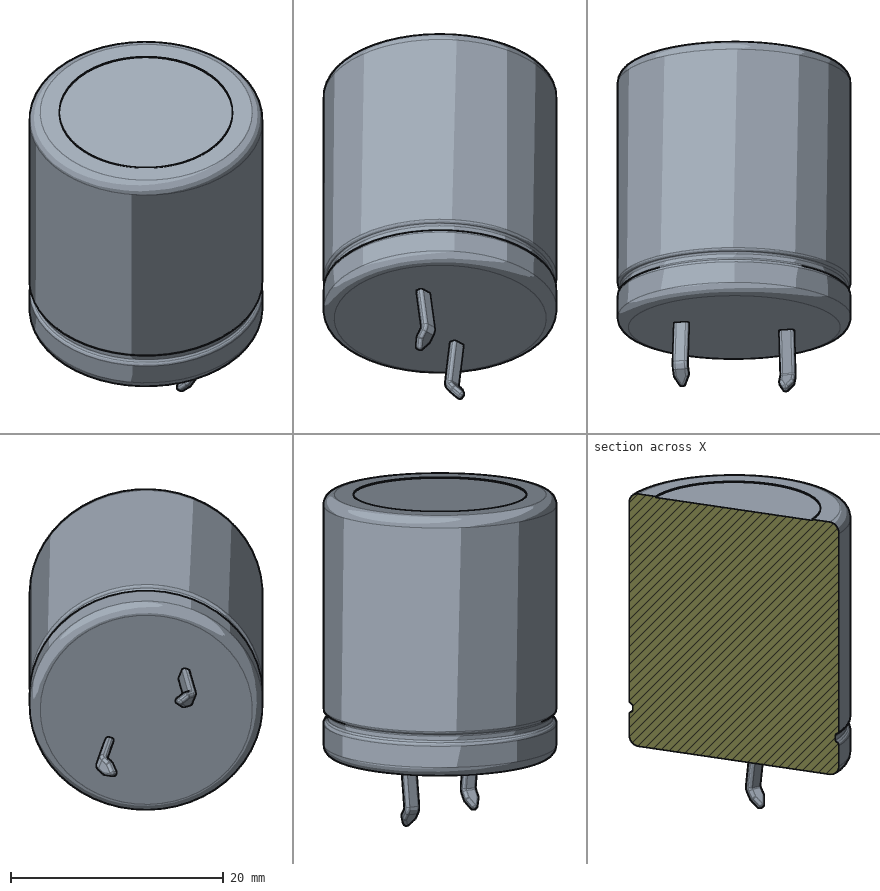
import cadquery as cq
import math

can_radius = 11.0
can_height = 25.04
can_edge_round = 1.0
top_recess_radius = 8.17
top_recess_depth = 0.1

groove_height = 3.74
groove_depth = 0.36
groove_floor_width = 0.4
groove_flank_height = 0.5
groove_floor_share = 0.4

pin_spacing = 10.2
pin_length = 6.1
pin_width = 1.45
pin_thickness = 0.8
pin_edge_round = 0.28
pin_twist = -25.0
pin_lean = 0.65
pin_bend_depth = 4.3
pin_bend_round = 0.2
pin_foot_angle = 38.0
pin_taper_width = 0.52
pin_taper_length = 1.05
pin_root_height = 1.0


def make_can():
    """Cylinder with rounded rims and a shallow round recess in the top."""
    can = cq.Workplane("XY").circle(can_radius).extrude(can_height)
    can = can.edges("%CIRCLE").fillet(can_edge_round)
    return can.faces(">Z").workplane().circle(top_recess_radius).cutBlind(-top_recess_depth)


def make_groove_cutter():
    """Ring with an S-shaped flank on each side: floor round tangent to lip round."""
    floor_radius = can_radius - groove_depth
    floor_half = groove_floor_width / 2
    mouth_half = floor_half + groove_flank_height

    both_rounds = (groove_flank_height**2 + groove_depth**2) / (2 * groove_depth)
    floor_round = both_rounds * groove_floor_share
    lip_round = both_rounds - floor_round
    touch_radius = floor_radius + groove_depth * groove_floor_share
    touch_half = floor_half + groove_flank_height * groove_floor_share

    ring = (
        cq.Workplane("XZ", origin=(0, 0, groove_height))
        .moveTo(floor_radius, -floor_half)
        .lineTo(floor_radius, floor_half)
        .radiusArc((touch_radius, touch_half), floor_round)
        .radiusArc((can_radius, mouth_half), -lip_round)
        .lineTo(can_radius + groove_depth, mouth_half)
        .lineTo(can_radius + groove_depth, -mouth_half)
        .lineTo(can_radius, -mouth_half)
        .radiusArc((touch_radius, -touch_half), -lip_round)
        .radiusArc((floor_radius, -floor_half), floor_round)
        .close()
    )
    return ring.revolve(360, (0, 0, 0), (0, 1, 0))


def taper_foot(strip, tip_y, tip_z, foot_angle):
    """Narrow the foot from both sides toward its end, which is centred at (tip_y, tip_z)."""
    foot_normal = (0, -math.cos(foot_angle), -math.sin(foot_angle))
    foot_plane = cq.Plane(origin=(0, tip_y, tip_z), xDir=(-1, 0, 0), normal=foot_normal)
    half_width = pin_width / 2
    for side in (-1, 1):
        corner = (
            cq.Workplane(foot_plane)
            .moveTo(side * half_width, -pin_taper_length)
            .lineTo(side * (half_width - pin_taper_width), 0)
            .lineTo(side * half_width, 0)
            .close()
            .extrude(pin_thickness, both=True)
        )
        strip = strip.cut(corner)
    return strip


def make_pin():
    """Flat pin at the -X side: it leans mainly toward -Y and its foot kinks back toward +Y."""
    lean_angle = math.atan2(pin_lean, pin_bend_depth)
    foot_angle = math.radians(pin_foot_angle)
    half_thick = pin_thickness / 2

    leg_half = half_thick / math.cos(lean_angle)
    bisector = (foot_angle - lean_angle) / 2
    miter = half_thick / math.cos((foot_angle + lean_angle) / 2)
    miter_y = miter * math.cos(bisector)
    miter_z = miter * math.sin(bisector)
    root_y = pin_root_height * math.tan(lean_angle)

    end_y = half_thick * math.cos(foot_angle)
    end_z = half_thick * math.sin(foot_angle)
    corner_overshoot = pin_edge_round * (math.cos(foot_angle) + math.sin(foot_angle) - 1)
    tip_z = end_z - pin_length - corner_overshoot
    tip_y = (-pin_bend_depth - tip_z) * math.tan(foot_angle) - pin_lean

    strip = (
        cq.Workplane("YZ")
        .polyline(
            [
                (root_y - leg_half, pin_root_height),
                (-pin_lean - miter_y, -pin_bend_depth - miter_z),
                (tip_y - end_y, tip_z - end_z),
                (tip_y + end_y, tip_z + end_z),
                (-pin_lean + miter_y, -pin_bend_depth + miter_z),
                (root_y + leg_half, pin_root_height),
            ]
        )
        .close()
        .extrude(pin_width / 2, both=True)
    )
    strip = taper_foot(strip, tip_y, tip_z, foot_angle)

    inner_bend = (0, -pin_lean + miter_y, -pin_bend_depth + miter_z)
    outer_bend = (0, -pin_lean - miter_y, -pin_bend_depth - miter_z)
    strip = strip.edges(cq.selectors.NearestToPointSelector(inner_bend)).fillet(pin_bend_round)
    outer_round = pin_bend_round + pin_thickness
    strip = strip.edges(cq.selectors.NearestToPointSelector(outer_bend)).fillet(outer_round)
    strip = strip.edges().fillet(pin_edge_round)
    return strip.rotate((0, 0, 0), (0, 0, 1), pin_twist).translate((-pin_spacing / 2, 0, 0))


def add_pins(body):
    """The two pins are half a turn apart about the can axis."""
    pin = make_pin()
    for turn in (0, 180):
        body = body.union(pin.rotate((0, 0, 0), (0, 0, 1), turn))
    return body


result = add_pins(make_can().cut(make_groove_cutter()))